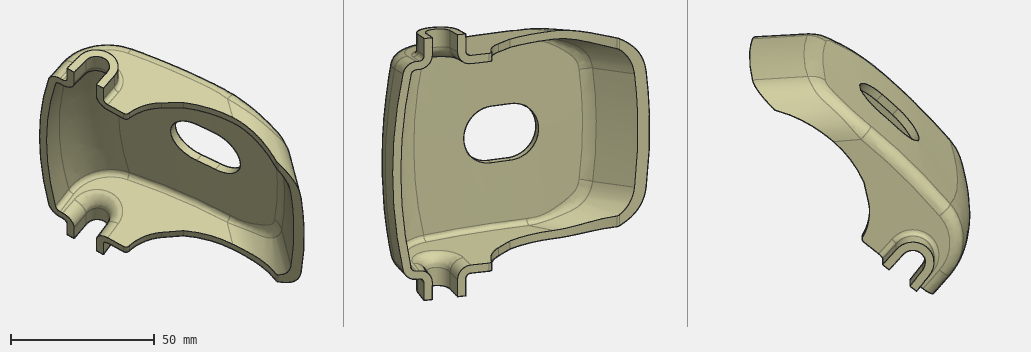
import cadquery as cq
import math

length = 100.8
depth = 32.6
wall = 3.0
side_half_width = 39.9
draft = math.tan(math.radians(5))
bow_radius = 169.4

lip_y = 16.1
end_slope = 1.05
corner_start_back = 28.4
corner_mid_back = 11.3
corner_mid_inset = 4.1
end_back = 1.3
end_half_width = 21.4
mid_turn = math.radians(27)
end_turn = math.radians(82)

crown_radius = 231.9
crown_x = 64.5
bowed_end_round = 20.2
edge_round = 5.0
end_round = 10.1

tube_x = 19.4
tube_center_y = 7.1
tube_radius = 7.5
tube_half_length = 48.0
tube_draft = math.tan(math.radians(2))
tube_root_round = 1.8

foot_end_x = 37.1
foot_round = 1.5
arch_radius = 42.9
arch_x = 68.9
arch_top_y = 21.3
arch_start_x = 49.4
knee_end = (43.4, 11.9)
knee_mid = (39.5, 7.7)
lip_round = 2.0

window_x = 50.4
window_length = 28.2
window_width = 20.7

margin = 10.1


def plan_outline(y, inset):
    """Section of the drafted form at height y, open-ended past the bowed end.

    A positive inset moves every wall inwards by that distance, square to its surface.
    """
    half = side_half_width - draft * y
    lip = length - end_slope * (y - lip_y)

    def moved_in(x, z, turn, z_travel):
        """Shift a point along its plan normal, allowing for the lean of the wall."""
        normal = (math.sin(turn), math.cos(turn))
        lean = end_slope * normal[0] + z_travel * normal[1]
        gap = inset * math.hypot(1, lean)
        return (x - gap * normal[0], z - gap * normal[1])

    def mirrored(point):
        return (point[0], -point[1])

    side = moved_in(lip - corner_start_back, half, 0, draft)
    middle = moved_in(lip - corner_mid_back, half - corner_mid_inset, mid_turn, draft)
    end = moved_in(lip - end_back, end_half_width, end_turn, 0)
    tip = moved_in(lip, 0, math.pi / 2, 0)
    headings = [(math.cos(turn), -math.sin(turn)) for turn in (0, mid_turn, end_turn)]
    returns = [(-x, z) for x, z in reversed(headings)]
    plane = cq.Plane(origin=(0, y, 0), xDir=(1, 0, 0), normal=(0, -1, 0))
    outline = (
        cq.Workplane(plane)
        .moveTo(-margin, side[1])
        .lineTo(*side)
        .spline([middle, end], tangents=headings, includeCurrent=True)
        .threePointArc(tip, mirrored(end))
        .spline([mirrored(middle), mirrored(side)], tangents=returns, includeCurrent=True)
        .lineTo(-margin, -side[1])
        .close()
    )
    return outline.val()


def rolled_block(inset):
    """Bowed end wall rolling over into the arched crown."""
    bowed = (
        cq.Workplane("XZ")
        .center(bow_radius, 0)
        .circle(bow_radius - inset)
        .extrude(-depth - margin)
    )
    crown = (
        cq.Workplane("XY")
        .center(crown_x, depth - crown_radius)
        .circle(crown_radius - inset)
        .extrude(side_half_width + margin, both=True)
    )
    trim = cq.Workplane("XY").box(
        2 * length,
        depth + margin,
        2 * side_half_width + margin,
        centered=(False, False, True),
    )
    block = bowed.intersect(crown).intersect(trim)
    rolled_edge = cq.selectors.BoxSelector((-1, margin, -margin), (margin, depth, margin))
    return block.edges(rolled_edge).fillet(bowed_end_round - inset)


def sharp_block(inset):
    """Shell form, moved in by inset, before its long edge is rounded."""
    loft = cq.Solid.makeLoft([plan_outline(0, inset), plan_outline(depth + margin, inset)], True)
    return cq.Workplane(loft).intersect(rolled_block(inset))


def round_long_edge(block, side_radius, end_radius):
    """Round the edge running up one corner, around the crown and down the other corner.

    The radius is constant along the sides and grows to end_radius on the sloped end.
    """
    crown_side = cq.selectors.BoxSelector(
        (bowed_end_round, margin, side_half_width / 2),
        (arch_start_x, depth, side_half_width),
    )
    edge = block.edges(crown_side).val()
    solid = block.solids().val()
    maker = cq.occ_impl.shapes.BRepFilletAPI_MakeFillet(solid.wrapped)
    maker.Add(side_radius, edge.wrapped)
    for vertex in solid.Vertices():
        on_chain = maker.RelativeAbscissa(1, vertex.wrapped) >= 0
        if on_chain:
            radius = end_radius if vertex.X > crown_x else side_radius
            maker.SetRadius(radius, 1, vertex.wrapped)
    return cq.Workplane(cq.Shape.cast(maker.Shape()))


def add_tubes(body, radius, half_length, root_round):
    """Join a U-shaped bar across both sides, with drafted ends and rounded roots."""
    foot_half = radius + tube_draft * tube_center_y
    bar = (
        cq.Workplane("XY")
        .moveTo(tube_x - foot_half, 0)
        .lineTo(tube_x - radius, tube_center_y)
        .threePointArc((tube_x, tube_center_y + radius), (tube_x + radius, tube_center_y))
        .lineTo(tube_x + foot_half, 0)
        .close()
        .extrude(half_length, both=True)
    )
    top_half = half_length - draft * depth
    drafted_ends = (
        cq.Workplane("YZ")
        .polyline([(0, -half_length), (depth, -top_half), (depth, top_half), (0, half_length)])
        .close()
        .extrude(length)
    )
    joined = body.union(bar.intersect(drafted_ends))
    roots = []
    for sign in (-1, 1):
        z_reach = (sign * (side_half_width - 2 * wall), sign * (side_half_width + 1))
        zone = cq.selectors.BoxSelector(
            (tube_x - tube_radius - 1, 0.1, min(z_reach)),
            (tube_x + tube_radius + 1, tube_center_y + tube_radius + 1, max(z_reach)),
        )
        roots += joined.edges(zone).vals()
    return joined.newObject(roots).fillet(root_round)


def rim_cut():
    """Everything below the arched rim, from the foot to the sloped end."""
    arch_y = arch_top_y - arch_radius
    arch_start_y = arch_y + math.sqrt(arch_radius**2 - (arch_start_x - arch_x) ** 2)
    arch_end_x = arch_x + math.sqrt(arch_radius**2 - (lip_y - arch_y) ** 2)
    foot_start_x = foot_end_x - foot_round
    half_turn = math.pi / 4
    foot_mid = (
        foot_start_x + foot_round * math.sin(half_turn),
        foot_round * (1 - math.cos(half_turn)),
    )
    cut = (
        cq.Workplane("XY")
        .moveTo(foot_start_x, 0)
        .threePointArc(foot_mid, (foot_end_x, foot_round))
        .threePointArc(knee_mid, knee_end)
        .lineTo(arch_start_x, arch_start_y)
        .threePointArc((arch_x, arch_top_y), (arch_end_x, lip_y))
        .lineTo(length + 2 * margin, lip_y)
        .lineTo(length + 2 * margin, -margin)
        .lineTo(foot_start_x, -margin)
        .close()
        .extrude(side_half_width + margin, both=True)
    )
    arch_end = cq.selectors.NearestToPointSelector((arch_end_x, lip_y, 0))
    return cut.edges("|Z").edges(arch_end).fillet(lip_round)


def window_cut():
    return (
        cq.Workplane("XZ")
        .center(window_x, 0)
        .slot2D(window_length, window_width)
        .extrude(-depth - margin)
    )


rounded_outer = round_long_edge(sharp_block(0), edge_round, end_round)
outer = add_tubes(rounded_outer, tube_radius, tube_half_length, tube_root_round)

rounded_core = round_long_edge(sharp_block(wall), edge_round - wall, end_round - wall)
cavity = add_tubes(
    rounded_core,
    tube_radius - wall,
    tube_half_length + margin,
    tube_root_round + wall,
)

result = outer.cut(cavity).cut(rim_cut()).cut(window_cut())